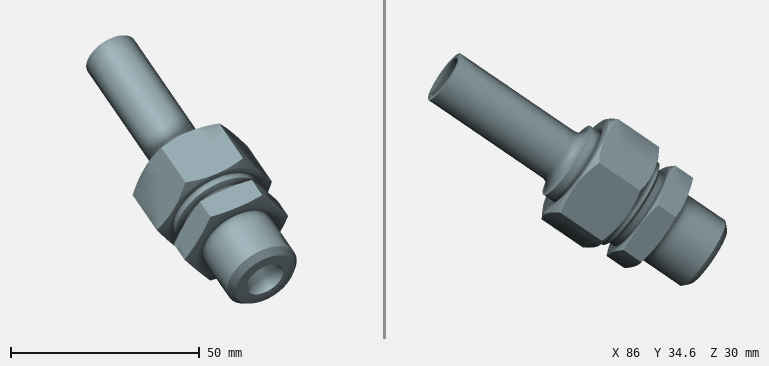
import cadquery as cq
import math

collar_start = 40.0
nut_start = 42.8
seat_x = 48.2
nut_end = 59.0
groove_start = 61.6
body_hex_start = 63.55
body_hex_end = 70.6
total_length = 86.0

tube_diameter = 15.0
tube_bore = 12.0
collar_diameter = 22.0
neck_radius = 3.0
passage_diameter = 11.0

nut_across_flats = 30.0
nut_front_face_diameter = 29.75
nut_rear_face_diameter = 30.0
nut_chamfer_angle = 30.0
nut_bore = 22.1
nut_mouth_diameter = 24.0

thread_diameter = 26.4
groove_diameter = 23.4
thread_chamfer_angle = 30.0
body_across_flats = 27.0
body_hex_face_diameter = 26.8
body_hex_chamfer_angle = 15.0
spigot_diameter = 21.0
spigot_chamfer = 1.7


def revolve_x(profile):
    """Revolve a closed (x, radius) profile about the X axis."""
    return profile.close().revolve(360, (0, 0, 0), (1, 0, 0))


def cylinder(start, end, diameter):
    return cq.Workplane("YZ", origin=(start, 0, 0)).circle(diameter / 2).extrude(end - start)


def chamfered_hex(start, end, across_flats, front_diameter, rear_diameter, angle):
    """Hexagonal prism with flats facing +Z and -Z, its corners trimmed by a cone at each end."""
    corner_diameter = across_flats / math.cos(math.radians(30))
    corner_radius = corner_diameter / 2
    slope = math.tan(math.radians(angle))
    front_length = (corner_radius - front_diameter / 2) * slope
    rear_length = (corner_radius - rear_diameter / 2) * slope
    prism = cq.Workplane("YZ", origin=(start, 0, 0)).polygon(6, corner_diameter).extrude(end - start)
    envelope = revolve_x(
        cq.Workplane("XY")
        .moveTo(start, 0)
        .lineTo(start, front_diameter / 2)
        .lineTo(start + front_length, corner_radius)
        .lineTo(end - rear_length, corner_radius)
        .lineTo(end, rear_diameter / 2)
        .lineTo(end, 0)
    )
    return prism.intersect(envelope)


def make_nipple():
    tube_radius = tube_diameter / 2
    neck_start = collar_start - neck_radius
    diagonal = neck_radius * math.sqrt(0.5)
    neck_middle = (neck_start + diagonal, tube_radius + neck_radius - diagonal)
    neck_end = (collar_start, tube_radius + neck_radius)
    return revolve_x(
        cq.Workplane("XY")
        .moveTo(0, tube_bore / 2)
        .lineTo(0, tube_radius)
        .lineTo(neck_start, tube_radius)
        .threePointArc(neck_middle, neck_end)
        .lineTo(collar_start, collar_diameter / 2)
        .lineTo(seat_x, collar_diameter / 2)
        .lineTo(seat_x, passage_diameter / 2)
        .lineTo(nut_start, passage_diameter / 2)
        .lineTo(collar_start, tube_bore / 2)
    )


def make_nut():
    blank = chamfered_hex(nut_start, nut_end, nut_across_flats, nut_front_face_diameter,
                          nut_rear_face_diameter, nut_chamfer_angle)
    mouth_depth = (nut_mouth_diameter - nut_bore) / 2
    cavity = revolve_x(
        cq.Workplane("XY")
        .moveTo(nut_start, 0)
        .lineTo(nut_start, nut_mouth_diameter / 2)
        .lineTo(nut_start + mouth_depth, nut_bore / 2)
        .lineTo(seat_x, nut_bore / 2)
        .lineTo(seat_x, thread_diameter / 2)
        .lineTo(nut_end, thread_diameter / 2)
        .lineTo(nut_end, 0)
    )
    return blank.cut(cavity)


def make_body():
    thread_depth = (thread_diameter - groove_diameter) / 2
    thread_end = groove_start - thread_depth * math.tan(math.radians(thread_chamfer_angle))
    shaft = revolve_x(
        cq.Workplane("XY")
        .moveTo(seat_x, 0)
        .lineTo(seat_x, thread_diameter / 2)
        .lineTo(thread_end, thread_diameter / 2)
        .lineTo(groove_start, groove_diameter / 2)
        .lineTo(body_hex_start, groove_diameter / 2)
        .lineTo(body_hex_start, spigot_diameter / 2)
        .lineTo(total_length - spigot_chamfer, spigot_diameter / 2)
        .lineTo(total_length, spigot_diameter / 2 - spigot_chamfer)
        .lineTo(total_length, 0)
    )
    hexagon = chamfered_hex(body_hex_start, body_hex_end, body_across_flats, body_hex_face_diameter,
                            body_hex_face_diameter, body_hex_chamfer_angle)
    return shaft.union(hexagon).cut(cylinder(seat_x, total_length, passage_diameter))


nipple = make_nipple()
nut = make_nut()
body = make_body()

result = cq.Compound.makeCompound([nipple.val(), nut.val(), body.val()])